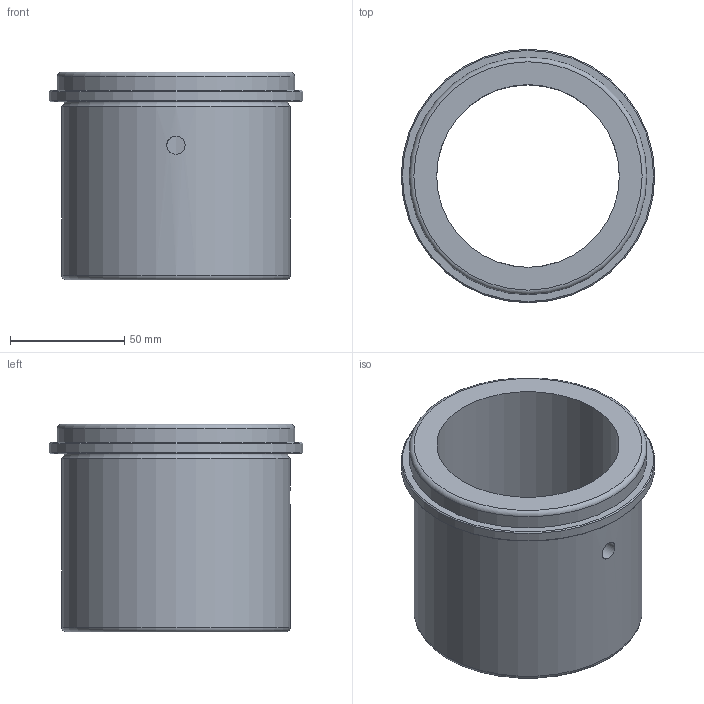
import cadquery as cq

total_height = 91.0
bore_diameter = 80.0
body_diameter = 100.0
head_diameter = 104.0
flange_diameter = 111.0

head_height = 8.0
flange_thickness = 5.0
edge_round = 2.0
neck_height = 2.0
neck_depth = 1.0
flange_chamfer = 0.5

oil_hole_diameter = 8.0
oil_hole_depth_from_top = 32.0

neck_radius = (neck_height**2 + neck_depth**2) / (2 * neck_depth)

head_bottom = total_height - head_height
body_top = head_bottom - flange_thickness
oil_hole_height = total_height - oil_hole_depth_from_top


def disc(diameter, bottom, top):
    """Solid disc between two levels on the Z axis."""
    return cq.Workplane("XY").workplane(offset=bottom).circle(diameter / 2).extrude(top - bottom)


def neck_groove():
    """Ring with a concave section, removed from the body just under the flange."""
    body_radius = body_diameter / 2
    neck_bottom = body_top - neck_height
    root_radius = body_radius - neck_depth
    section = (
        cq.Workplane("XZ")
        .moveTo(body_radius, neck_bottom)
        .lineTo(body_radius, body_top)
        .lineTo(root_radius, body_top)
        .radiusArc((body_radius, neck_bottom), -neck_radius)
        .close()
    )
    return section.revolve(360, (0, 0, 0), (0, 1, 0))


def outer_form():
    """Body, flange and head stacked on one axis, each with its own edge breaks."""
    body = disc(body_diameter, 0, body_top)
    body = body.edges("<Z").fillet(edge_round)
    flange = disc(flange_diameter, body_top, head_bottom)
    flange = flange.edges("<Z or >Z").chamfer(flange_chamfer)
    head = disc(head_diameter, head_bottom, total_height)
    head = head.edges(">Z").fillet(edge_round)
    return body.cut(neck_groove()).union(flange).union(head)


def bore():
    """Cylinder that clears the full height of the sleeve."""
    return disc(bore_diameter, 0, total_height)


def oil_hole():
    """Radial hole through the -Y wall only, ending inside the bore."""
    return (
        cq.Workplane("XZ")
        .center(0, oil_hole_height)
        .circle(oil_hole_diameter / 2)
        .extrude(body_diameter / 2)
    )


result = outer_form().cut(bore()).cut(oil_hole())